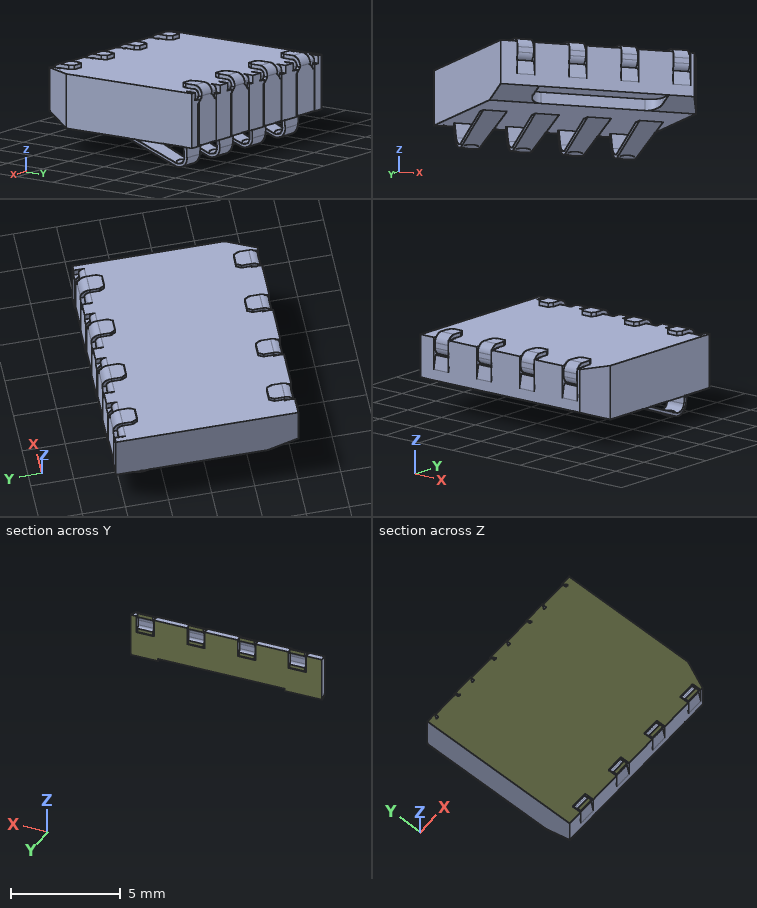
import cadquery as cq
import math

LENGTH = 10.08
WIDTH = 8.48
HEIGHT = 2.55
FRONT_Y = -WIDTH / 2
BACK_Y = WIDTH / 2

BEVEL_RUN = 1.41
FRONT_BEVEL_RISE = 0.52
CORNER_BEVEL_X = 0.65

RELIEF_LENGTH = 6.33
RELIEF_RADIUS = 0.62

CONTACT_COUNT = 4
PITCH = 2.54
CONTACT_X = [(i - (CONTACT_COUNT - 1) / 2) * PITCH for i in range(CONTACT_COUNT)]

LEAD_WIDTH = 0.78
LEAD_THICKNESS = 0.19
LEAD_INSET = 0.04
TAB_REACH = 1.18
TAB_CORNER_X = 0.12
TAB_CORNER_Y = 0.23
UPPER_BEND = 0.43
LOWER_BEND = 0.36
LEAD_STRAIGHT = 0.25
LEAD_TAIL = 0.66

SLOT_WIDTH = 0.87
SLOT_DEPTH = 0.48
RAMP_RISE = 0.65
RAMP_DEPTH = 0.13

NOTCH_WIDTH = 1.95
NOTCH_DROP = 0.36
NOTCH_WALL_DEPTH = LEAD_INSET + LEAD_THICKNESS

GROOVE_MOUTH = 1.35
GROOVE_FLARE = 0.17
SHOULDER_WIDTH = 1.18
SHOULDER_TOP_DROP = 0.3
SHOULDER_FILLET = 0.35
SHOULDER_ANGLE = math.radians(45)

LEAD_TOP = HEIGHT + LEAD_THICKNESS
LEAD_UPPER_Z = LEAD_TOP - UPPER_BEND
LEAD_LOWER_Z = LEAD_UPPER_Z - LEAD_STRAIGHT
LEAD_BOTTOM = LEAD_LOWER_Z - LOWER_BEND
LEAD_FACE_Y = FRONT_Y + LEAD_INSET

LEG_DROP = 1.23
LEG_THICKNESS = 0.16
LEG_INSET = 0.8
LEG_BEND = 0.52
LEG_ANGLE = math.radians(20.6)
LEG_TOP_WIDTH = 1.15
LEG_TIP_WIDTH = 0.9
LEG_ROOT = 0.1

CROWN_HEIGHT = 0.05
CROWN_RADIUS = 0.4
CROWN_WIDTH = 0.81
CROWN_SAG = 0.06

SLOPE_START = -math.pi / 2 - LEG_ANGLE
CROWN_OFFSET = LEG_BEND + CROWN_HEIGHT - CROWN_RADIUS
BEND_Y = BACK_Y - LEG_INSET - LEG_BEND
BEND_Z = CROWN_OFFSET * math.cos(LEG_ANGLE) + CROWN_RADIUS - LEG_DROP
CROWN_Y = BEND_Y + CROWN_OFFSET * math.cos(SLOPE_START)
CROWN_Z = BEND_Z + CROWN_OFFSET * math.sin(SLOPE_START)


def prism_along_x(outline, width):
    """Extrude a closed YZ outline symmetrically about X = 0."""
    return outline.close().extrude(width / 2, both=True)


def repeat(shape):
    """Place one copy of the shape at every contact position."""
    copies = cq.Workplane("XY")
    for x in CONTACT_X:
        copies = copies.add(shape.translate((x, 0, 0)).vals())
    return copies.combine()


def make_housing():
    """Bevelled block with the rounded relief pocket under its front edge."""
    profile = cq.Workplane("YZ").polyline([
        (FRONT_Y, FRONT_BEVEL_RISE),
        (FRONT_Y + BEVEL_RUN, 0),
        (BACK_Y, 0),
        (BACK_Y, HEIGHT),
        (FRONT_Y, HEIGHT),
    ])
    block = prism_along_x(profile, LENGTH)
    corner = (
        cq.Workplane("XY")
        .moveTo(LENGTH / 2, FRONT_Y)
        .lineTo(LENGTH / 2, FRONT_Y + BEVEL_RUN)
        .lineTo(LENGTH / 2 - CORNER_BEVEL_X, FRONT_Y)
        .close()
        .extrude(HEIGHT)
    )
    relief = (
        cq.Workplane("XY")
        .box(RELIEF_LENGTH, BEVEL_RUN, FRONT_BEVEL_RISE, centered=(True, False, False))
        .edges("|Z and >Y")
        .fillet(RELIEF_RADIUS)
        .translate((0, FRONT_Y, 0))
    )
    return block.cut(corner).cut(relief)


def make_front_slot():
    """Slot open to the front and top, with a steep ramp up to the ledge under the lead."""
    back_y = FRONT_Y + SLOT_DEPTH
    outline = cq.Workplane("YZ").polyline([
        (FRONT_Y, LEAD_BOTTOM - RAMP_RISE),
        (FRONT_Y + RAMP_DEPTH, LEAD_BOTTOM),
        (back_y, LEAD_BOTTOM),
        (back_y, HEIGHT),
        (FRONT_Y, HEIGHT),
    ])
    return prism_along_x(outline, SLOT_WIDTH)


def make_groove(outer_y):
    """Full-height prism widening inwards from outer_y to the notch wall, at the front edge."""
    wall_y = FRONT_Y + NOTCH_WALL_DEPTH
    mouth_half = GROOVE_MOUTH / 2
    inner_half = mouth_half + GROOVE_FLARE
    flare_slope = GROOVE_FLARE / NOTCH_WALL_DEPTH
    outer_half = mouth_half + (outer_y - FRONT_Y) * flare_slope
    return (
        cq.Workplane("XY")
        .polyline([
            (-outer_half, outer_y),
            (outer_half, outer_y),
            (inner_half, wall_y),
            (-inner_half, wall_y),
        ])
        .close()
        .extrude(HEIGHT)
    )


def make_back_recess():
    """Notch with a rounded inner wall and a groove below it, built at the front edge."""
    wall_y = FRONT_Y + NOTCH_WALL_DEPTH
    wall_radius = SLOT_DEPTH - NOTCH_WALL_DEPTH
    shelf_z = HEIGHT - NOTCH_DROP
    outline = (
        cq.Workplane("YZ")
        .moveTo(FRONT_Y, HEIGHT)
        .lineTo(FRONT_Y, shelf_z)
        .lineTo(wall_y, shelf_z)
        .lineTo(wall_y, HEIGHT - wall_radius)
        .radiusArc((FRONT_Y + SLOT_DEPTH, HEIGHT), wall_radius)
    )
    notch = prism_along_x(outline, NOTCH_WIDTH)
    return notch.union(make_groove(FRONT_Y))


def make_blade():
    """Shouldered plate continuing a back lead down its groove, built at the front edge."""
    neck_half = LEAD_WIDTH / 2
    shoulder_half = SHOULDER_WIDTH / 2
    neck_z = HEIGHT - SHOULDER_TOP_DROP
    shoulder_z = neck_z - (shoulder_half - neck_half) * math.tan(SHOULDER_ANGLE)
    fillet_half = shoulder_half + SHOULDER_FILLET * math.sin(SHOULDER_ANGLE)
    fillet_z = shoulder_z - SHOULDER_FILLET * (1 - math.cos(SHOULDER_ANGLE))
    silhouette = (
        cq.Workplane("XZ", origin=(0, FRONT_Y, 0))
        .moveTo(-fillet_half, 0)
        .lineTo(-fillet_half, fillet_z)
        .radiusArc((-shoulder_half, shoulder_z), -SHOULDER_FILLET)
        .lineTo(-neck_half, neck_z)
        .lineTo(neck_half, neck_z)
        .lineTo(shoulder_half, shoulder_z)
        .radiusArc((fillet_half, fillet_z), -SHOULDER_FILLET)
        .lineTo(fillet_half, 0)
        .close()
        .extrude(-NOTCH_WALL_DEPTH)
    )
    return make_groove(LEAD_FACE_Y).intersect(silhouette)


def make_lead():
    """Strip leaving the front wall, bending up and then back over the top."""
    inner_y = LEAD_FACE_Y + LEAD_THICKNESS
    tip_y = FRONT_Y + TAB_REACH
    tail_y = FRONT_Y + LEAD_TAIL
    upper_y = LEAD_FACE_Y + UPPER_BEND
    lower_y = LEAD_FACE_Y + LOWER_BEND
    inner_upper_bend = UPPER_BEND - LEAD_THICKNESS
    inner_lower_bend = LOWER_BEND - LEAD_THICKNESS
    outline = (
        cq.Workplane("YZ")
        .moveTo(tip_y, LEAD_TOP)
        .lineTo(upper_y, LEAD_TOP)
        .radiusArc((LEAD_FACE_Y, LEAD_UPPER_Z), -UPPER_BEND)
        .lineTo(LEAD_FACE_Y, LEAD_LOWER_Z)
        .radiusArc((lower_y, LEAD_BOTTOM), -LOWER_BEND)
        .lineTo(tail_y, LEAD_BOTTOM)
        .lineTo(tail_y, LEAD_BOTTOM + LEAD_THICKNESS)
        .lineTo(lower_y, LEAD_BOTTOM + LEAD_THICKNESS)
        .radiusArc((inner_y, LEAD_LOWER_Z), inner_lower_bend)
        .lineTo(inner_y, LEAD_UPPER_Z)
        .radiusArc((upper_y, HEIGHT), inner_upper_bend)
        .lineTo(tip_y, HEIGHT)
    )
    strip = prism_along_x(outline, LEAD_WIDTH)
    half = LEAD_WIDTH / 2
    tip_corner = (
        cq.Workplane("XY", origin=(0, 0, HEIGHT))
        .moveTo(half, tip_y)
        .lineTo(half, tip_y - TAB_CORNER_Y)
        .lineTo(half - TAB_CORNER_X, tip_y)
        .close()
        .extrude(LEAD_THICKNESS)
    )
    return strip.cut(tip_corner).cut(tip_corner.mirror("YZ"))


def on_bend(radius, angle):
    """Point in the YZ plane at a radius and angle about the axis of the leg bend."""
    return (BEND_Y + radius * math.cos(angle), BEND_Z + radius * math.sin(angle))


def on_slope_root(radius):
    """Point where the sloping face tangent to the given bend radius ends inside the housing."""
    start_y, start_z = on_bend(radius, SLOPE_START)
    return (start_y - (LEG_ROOT - start_z) / math.tan(LEG_ANGLE), LEG_ROOT)


def make_leg_strip(outer_radius):
    """Hooked strip of constant width, from the leg's inner face out to outer_radius."""
    inner_radius = LEG_BEND - LEG_THICKNESS
    mid_bend = SLOPE_START / 2
    outline = (
        cq.Workplane("YZ")
        .moveTo(BEND_Y + outer_radius, LEG_ROOT)
        .lineTo(*on_bend(outer_radius, 0))
        .threePointArc(on_bend(outer_radius, mid_bend), on_bend(outer_radius, SLOPE_START))
        .lineTo(*on_slope_root(outer_radius))
        .lineTo(*on_slope_root(inner_radius))
        .lineTo(*on_bend(inner_radius, SLOPE_START))
        .threePointArc(on_bend(inner_radius, mid_bend), on_bend(inner_radius, 0))
        .lineTo(BEND_Y + inner_radius, LEG_ROOT)
    )
    return prism_along_x(outline, LEG_TOP_WIDTH)


def make_barrel(radius):
    """Barrel along X on the crown axis, with the given radius at its middle."""
    half = CROWN_WIDTH / 2
    end_radius = radius - CROWN_SAG
    return (
        cq.Workplane("XY", origin=(0, CROWN_Y, CROWN_Z))
        .moveTo(-half, 0)
        .lineTo(-half, end_radius)
        .threePointArc((0, radius), (half, end_radius))
        .lineTo(half, 0)
        .close()
        .revolve(360, (0, 0, 0), (1, 0, 0))
    )


def make_leg():
    """Hooked spring strip, narrowing towards a crowned tip that is dimpled behind."""
    taper = (
        cq.Workplane("XZ")
        .polyline([
            (-LEG_TIP_WIDTH / 2, -LEG_DROP),
            (LEG_TIP_WIDTH / 2, -LEG_DROP),
            (LEG_TOP_WIDTH / 2, 0),
            (LEG_TOP_WIDTH / 2, LEG_ROOT),
            (-LEG_TOP_WIDTH / 2, LEG_ROOT),
            (-LEG_TOP_WIDTH / 2, 0),
        ])
        .close()
        .extrude(WIDTH / 2, both=True)
    )
    crown = make_leg_strip(LEG_BEND + CROWN_HEIGHT).intersect(make_barrel(CROWN_RADIUS))
    dimple = make_barrel(CROWN_RADIUS - LEG_THICKNESS)
    strip = make_leg_strip(LEG_BEND).intersect(taper)
    return strip.union(crown).cut(dimple)


front_slots = repeat(make_front_slot())
back_recesses = repeat(make_back_recess()).mirror("XZ")
front_leads = repeat(make_lead())
back_leads = front_leads.union(repeat(make_blade())).mirror("XZ")

result = (
    make_housing()
    .cut(front_slots)
    .cut(back_recesses)
    .union(front_leads)
    .union(back_leads)
    .union(repeat(make_leg()))
)